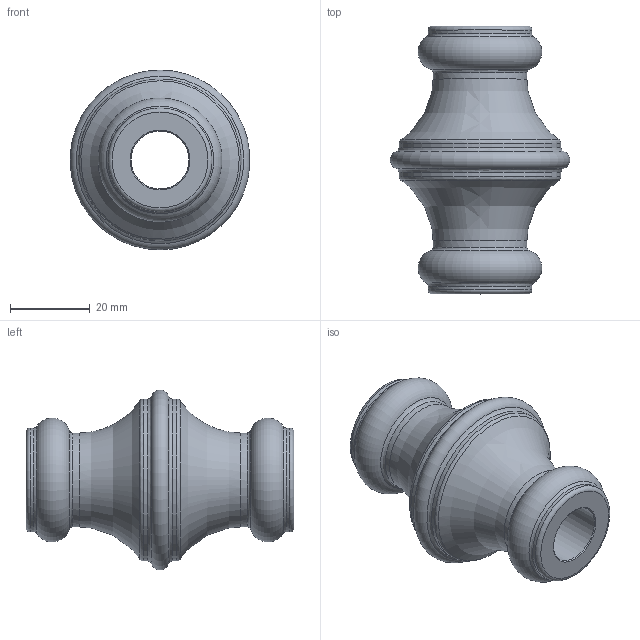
import cadquery as cq
import math

half_length = 33.5
bore_radius = 7.25
bore_chamfer = 0.25
edge_fillet = 1.0

end_radius = 13.0
neck_radius = 11.75
collar_radius = 20.25

end_bead_offset = 27.0
end_bead_peak = 15.5
end_bead_round = 4.5
middle_bead_peak = 22.5
middle_bead_round = 2.25

flare_start = 20.25
collar_corner = 4.75


def half_chord(bead_peak, bead_round, radius):
    """Axial distance from a bead's centre to where its round meets a cylinder."""
    height = radius - (bead_peak - bead_round)
    return math.sqrt(bead_round**2 - height**2)


def flare_midpoint():
    """Middle point (y, radius) of the +Y flare arc, which is tangent to the neck."""
    rise = collar_radius - neck_radius
    run = flare_start - collar_corner
    flare_round = (run**2 + rise**2) / (2 * rise)
    half_sweep = math.asin(run / flare_round) / 2
    y = flare_start - flare_round * math.sin(half_sweep)
    radius = neck_radius + flare_round * (1 - math.cos(half_sweep))
    return y, radius


def turned_body():
    """Revolve the sharp-cornered outer profile into a solid body."""
    bead_outer = end_bead_offset + half_chord(end_bead_peak, end_bead_round, end_radius)
    bead_inner = end_bead_offset - half_chord(end_bead_peak, end_bead_round, neck_radius)
    middle_bead_edge = half_chord(middle_bead_peak, middle_bead_round, collar_radius)
    flare_y, flare_radius = flare_midpoint()

    profile = (
        cq.Workplane("YZ")
        .moveTo(-half_length, 0)
        .lineTo(-half_length, end_radius)
        .lineTo(-bead_outer, end_radius)
        .threePointArc((-end_bead_offset, end_bead_peak), (-bead_inner, neck_radius))
        .lineTo(-flare_start, neck_radius)
        .threePointArc((-flare_y, flare_radius), (-collar_corner, collar_radius))
        .lineTo(-middle_bead_edge, collar_radius)
        .threePointArc((0, middle_bead_peak), (middle_bead_edge, collar_radius))
        .lineTo(collar_corner, collar_radius)
        .threePointArc((flare_y, flare_radius), (flare_start, neck_radius))
        .lineTo(bead_inner, neck_radius)
        .threePointArc((end_bead_offset, end_bead_peak), (bead_outer, end_radius))
        .lineTo(half_length, end_radius)
        .lineTo(half_length, 0)
        .close()
    )
    return profile.revolve(360, (0, 0, 0), (1, 0, 0))


def round_corners(body):
    """Fillet every corner circle except the smooth joints of neck and flare."""
    tolerance = 1e-3

    def is_corner(edge):
        on_smooth_joint = abs(abs(edge.Center().y) - flare_start) < tolerance
        return edge.geomType() == "CIRCLE" and edge.IsClosed() and not on_smooth_joint

    return body.edges().filter(is_corner).fillet(edge_fillet)


def cut_bore(body):
    """Drill the through bore and chamfer both of its mouths."""
    bore = cq.Workplane("XZ").circle(bore_radius).extrude(half_length, both=True)
    drilled = body.cut(bore)
    mouths = drilled.faces("<Y or >Y").edges(cq.selectors.RadiusNthSelector(0))
    return mouths.chamfer(bore_chamfer)


result = cut_bore(round_corners(turned_body()))